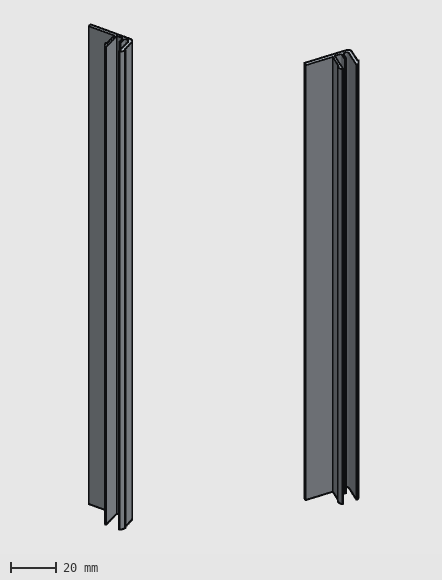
import cadquery as cq
import math

length = 267.0
width = 22.7
depth = 10.5

flange_thickness = 1.5
bridge_thickness = 1.3
corner_radius = 2.0
inner_corner_radius = 1.0
rib_root_radius = 0.5

left_leg_thickness = 1.0
right_leg_thickness = 1.5
leg_gap = 6.5
barb_reach = 0.5
barb_height = 2.5
barb_bulge = 0.3
tip_width = 0.5

rib_thickness = 0.8
rib_bottom = 0.5
rib_offset = 3.2

left = -width / 2
right = width / 2
back = depth / 2
front = -depth / 2
flange_underside = back - flange_thickness
bridge_underside = back - bridge_thickness

right_leg_outer = right - barb_reach
right_leg_inner = right_leg_outer - right_leg_thickness
left_leg_inner = right_leg_inner - leg_gap
left_leg_outer = left_leg_inner - left_leg_thickness
rib_left = left_leg_inner + rib_offset
rib_right = rib_left + rib_thickness
barb_top = front + barb_height


left_barb_tip = (left_leg_outer - barb_reach, barb_top)
left_leg_tip = (left_leg_inner - tip_width, front)
right_leg_tip = (right_leg_inner + tip_width, front)
right_barb_tip = (right, barb_top)


def bulged_middle(start, end):
    """Middle of an arc from start to end that swells to the right of the travel direction."""
    run = end[0] - start[0]
    rise = end[1] - start[1]
    chord = math.hypot(run, rise)
    return (
        (start[0] + end[0]) / 2 + barb_bulge * rise / chord,
        (start[1] + end[1]) / 2 - barb_bulge * run / chord,
    )


def round_edge(body, x, y, radius):
    """Round the lengthwise edge at the given profile corner."""
    edge = cq.selectors.NearestToPointSelector((x, y, 0))
    return body.edges("|Z").edges(edge).fillet(radius)


outline = (
    cq.Workplane("XY").workplane(offset=-length / 2)
    .moveTo(left, back)
    .lineTo(left, flange_underside)
    .lineTo(left_leg_outer, flange_underside)
    .lineTo(left_leg_outer, barb_top)
    .lineTo(*left_barb_tip)
    .threePointArc(bulged_middle(left_barb_tip, left_leg_tip), left_leg_tip)
    .lineTo(left_leg_inner, front)
    .lineTo(left_leg_inner, bridge_underside)
    .lineTo(rib_left, bridge_underside)
    .lineTo(rib_left, rib_bottom)
    .lineTo(rib_right, rib_bottom)
    .lineTo(rib_right, bridge_underside)
    .lineTo(right_leg_inner, bridge_underside)
    .lineTo(right_leg_inner, front)
    .lineTo(*right_leg_tip)
    .threePointArc(bulged_middle(right_leg_tip, right_barb_tip), right_barb_tip)
    .lineTo(right_leg_outer, barb_top)
    .lineTo(right_leg_outer, back)
    .close()
)

body = outline.extrude(length)
body = round_edge(body, right_leg_outer, back, corner_radius)
body = round_edge(body, right_leg_inner, bridge_underside, inner_corner_radius)
for rib_side in (rib_left, rib_right):
    body = round_edge(body, rib_side, bridge_underside, rib_root_radius)
result = body